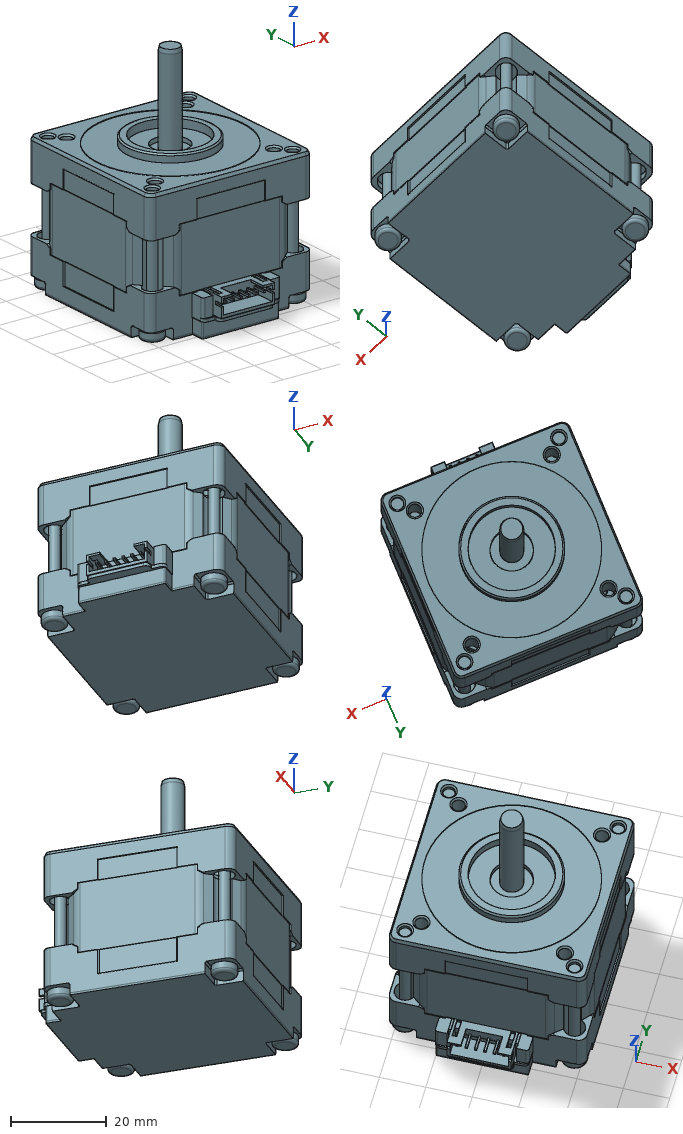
import cadquery as cq
import math


body_width = 42.6
total_depth = 48.55
half_body = body_width / 2
body_top = 33.95
total_height = 55.85
corner_radius = 1.85

lower_cap_top = 11.6
upper_cap_bottom = 23.45
top_bevel_run = 0.4
top_bevel_rise = 0.8
bottom_bevel_run = 0.085
bottom_bevel_rise = 0.45
notch_half_width = 13.35
notch_flare_width = 14.5
notch_flare_rise = 0.7

stator_bottom = 9.5
stator_top = 25.6
half_stator = 21.1
stator_flat_half = 12.8
shoulder = (14.5, 20.6)
recess_corner = (16.2, 19.2)

recess_floor = 5.6
slot_floor_distance = 21.1

window_depth = 0.35
window_half_width = 8.9
upper_window_top = 30.3
lower_window_bottom = 3.9
lower_window_draft = 0.3

recess_radius = 18.75
recess_depth = 0.15
boss_radius = 11.05
boss_top = 35.8
boss_chamfer = 0.4
boss_bore_radius = 9.1
boss_bore_floor = 33.75
bearing_bore_radius = 4.5
bearing_bore_floor = 32.6
shaft_radius = 2.5
shaft_chamfer_run = 0.2
shaft_chamfer_rise = 1.0

screw_offset = 18.25
screw_radius = 1.25
screw_hole_radius = 1.35
screw_hole_depth = 1.1
tapped_offset = 15.5
tapped_radius = 1.4
screw_clearance = math.hypot(screw_offset - recess_corner[0], screw_offset - recess_corner[1])
countersink = 0.4
head_radius = 2.8
head_bottom = 0.15
head_top = 2.35
head_round = 0.7
head_pocket_edge = 15.0
head_pocket_top = 2.8
head_pocket_chamfer = 0.4

connector_back = half_body - window_depth
base_half_width = 10.0
plate_half_width = 10.1
base_front = 24.7
base_top = 3.9
base_corner = 0.35
plate_top = 4.7
plate_front = 25.3
tongue_half_width = 7.15
tongue_front = 27.0
plate_corner = 1.1
block_inner = 7.5
block_front = 24.95
block_top = 9.4
block_corner = 0.55
web_front = 23.65
web_top = 9.15
housing_half_width = 6.9
housing_front = total_depth - half_body
housing_top = 9.6
cavity_half_width = 6.3
cavity_back = 22.95
cavity_floor = 5.5
cavity_roof = 9.1
opening_half_width = 3.9
undercut_depth = 0.55
undercut_low = 6.8
undercut_high = 7.4
key_slot_inner = 5.35
key_slot_front = 25.3
latch_back = 25.2
latch_bottom = 7.3
latch_top = 8.1
pin_count = 6
pin_pitch = 2.0
pin_width = 0.5
pin_bottom = 7.5
pin_front = 26.3

corners = [(sx, sy) for sx in (-1, 1) for sy in (-1, 1)]


def block(x_range, y_range, z_range):
    """Box between the given limits."""
    low, high = zip(x_range, y_range, z_range)
    size = [b - a for a, b in zip(low, high)]
    return cq.Workplane("XY").box(*size, centered=False).translate(low)


def rod(radius, bottom, top, center=(0, 0)):
    """Upright cylinder."""
    return cq.Workplane("XY", origin=(*center, bottom)).circle(radius).extrude(top - bottom)


def around(solid):
    """The solid repeated on the four sides of the body."""
    result = solid
    for turn in (90, 180, 270):
        result = result.union(solid.rotate((0, 0, 0), (0, 0, 1), turn))
    return result


def cap(bottom, top):
    """Square cap with rounded corners."""
    return (
        cq.Workplane("XY", origin=(0, 0, bottom))
        .rect(body_width, body_width)
        .extrude(top - bottom)
        .edges("|Z")
        .fillet(corner_radius)
    )


def corner_slots(bottom, top):
    """Diagonal corner slots, each with a round outer end about its screw."""
    screw_distance = screw_offset * math.sqrt(2)
    slot = (
        cq.Workplane("XY", origin=(0, 0, bottom))
        .moveTo(slot_floor_distance, -screw_clearance)
        .lineTo(screw_distance, -screw_clearance)
        .threePointArc((screw_distance + screw_clearance, 0), (screw_distance, screw_clearance))
        .lineTo(slot_floor_distance, screw_clearance)
        .close()
        .extrude(top - bottom)
    )
    return around(slot.rotate((0, 0, 0), (0, 0, 1), 45))


def stator():
    """Laminated stack with rounded shoulders and cut corners."""
    run = shoulder[0] - stator_flat_half
    drop = half_stator - shoulder[1]
    half_sweep = math.atan2(drop, run)
    radius = run / math.sin(2 * half_sweep)
    middle = (
        stator_flat_half + radius * math.sin(half_sweep),
        half_stator - radius * (1 - math.cos(half_sweep)),
    )
    outline = cq.Workplane("XY", origin=(0, 0, stator_bottom)).moveTo(-stator_flat_half, half_stator)
    for turn in range(4):

        def at(x, y):
            """Point of the first side carried to the current side."""
            for _ in range(turn):
                x, y = y, -x
            return (x, y)

        outline = (
            outline.lineTo(*at(stator_flat_half, half_stator))
            .threePointArc(at(*middle), at(*shoulder))
            .lineTo(*at(*recess_corner))
            .lineTo(*at(recess_corner[1], recess_corner[0]))
            .lineTo(*at(shoulder[1], shoulder[0]))
            .threePointArc(at(middle[1], middle[0]), at(half_stator, stator_flat_half))
        )
    return outline.close().extrude(stator_top - stator_bottom)


def side_notches():
    """Cutters for the openings that bare the stator and for the shallow side windows."""
    notch = (
        cq.Workplane("XZ", origin=(0, -shoulder[1], 0))
        .moveTo(-notch_half_width, stator_bottom)
        .lineTo(notch_half_width, stator_bottom)
        .lineTo(notch_half_width, lower_cap_top - notch_flare_rise)
        .lineTo(notch_flare_width, lower_cap_top)
        .lineTo(notch_flare_width, upper_cap_bottom)
        .lineTo(notch_half_width, upper_cap_bottom + notch_flare_rise)
        .lineTo(notch_half_width, stator_top)
        .lineTo(-notch_half_width, stator_top)
        .lineTo(-notch_half_width, upper_cap_bottom + notch_flare_rise)
        .lineTo(-notch_flare_width, upper_cap_bottom)
        .lineTo(-notch_flare_width, lower_cap_top)
        .lineTo(-notch_half_width, lower_cap_top - notch_flare_rise)
        .close()
        .extrude(half_body - shoulder[1])
    )
    window_x = (-window_half_width, window_half_width)
    window_y = (-half_body, -half_body + window_depth)
    upper_window = block(window_x, window_y, (stator_top, upper_window_top))
    lower_window = block(window_x, window_y, (lower_window_bottom, stator_bottom))
    lower_window = lower_window.edges("|Z and >Y").chamfer(lower_window_draft)
    return around(notch.union(upper_window).union(lower_window))


def add_bevel(body, face, run, rise):
    """Extends an end face by a short tapered rim."""
    taper = math.degrees(math.atan2(run, rise))
    rim = body.faces(face).wires().toPending().workplane().extrude(rise, taper=taper, combine=False)
    return body.union(rim)


def lower_cap():
    """Lower cap with a bevelled underside and a corner pocket for each screw head."""
    body = add_bevel(cap(bottom_bevel_rise, lower_cap_top), "<Z", bottom_bevel_run, bottom_bevel_rise)
    pocket = block((head_pocket_edge, half_body), (head_pocket_edge, half_body), (0, head_pocket_top))
    inner_edges = pocket.edges("(<X and <Y) or (>Z and (<X or <Y))")
    return body.cut(around(inner_edges.chamfer(head_pocket_chamfer)))


def upper_cap():
    """Upper cap with a bevelled top edge and a shallow round recess."""
    body = cap(upper_cap_bottom, body_top - top_bevel_rise)
    body = add_bevel(body, ">Z", top_bevel_run, top_bevel_rise)
    return body.cut(rod(recess_radius, body_top - recess_depth, body_top))


def boss_and_shaft(body):
    """Adds the stepped-bore boss and the shaft to the body."""
    boss = rod(boss_radius, bearing_bore_floor, boss_top).faces(">Z").chamfer(boss_chamfer)
    body = body.union(boss)
    body = body.cut(rod(boss_bore_radius, boss_bore_floor, boss_top))
    body = body.cut(rod(bearing_bore_radius, bearing_bore_floor, boss_top))
    shaft = (
        cq.Workplane("XZ")
        .moveTo(0, stator_top)
        .lineTo(shaft_radius, stator_top)
        .lineTo(shaft_radius, total_height - shaft_chamfer_rise)
        .lineTo(shaft_radius - shaft_chamfer_run, total_height)
        .lineTo(0, total_height)
        .close()
        .revolve(360, (0, 0, 0), (0, 1, 0))
    )
    return body.union(shaft)


def countersunk_hole(radius, bottom, center):
    """Cutter for a hole from the top face with a 45 degree countersink."""
    hole = rod(radius, bottom, body_top, center)
    sink = (
        cq.Workplane("XY", origin=(*center, body_top))
        .circle(radius + countersink)
        .extrude(-countersink, taper=45)
    )
    return hole.union(sink)


def screw(center):
    """Screw shank with a round-edged head below."""
    shank = rod(screw_radius, head_top, stator_top, center)
    head = rod(head_radius, head_bottom, head_top, center).faces("<Z").edges().fillet(head_round)
    return shank.union(head)


def connector_base():
    """Base block under a plate whose rounded tongue reaches below the housing."""
    base = block(
        (-base_half_width, base_half_width), (-base_front, -connector_back), (bottom_bevel_rise, base_top)
    )
    base = base.edges("|Z and <Y").fillet(base_corner)
    base = add_bevel(base, "<Z", bottom_bevel_run, bottom_bevel_rise)
    plate_z = (base_top, plate_top)
    plate = block((-plate_half_width, plate_half_width), (-plate_front, -connector_back), plate_z)
    tongue = block((-tongue_half_width, tongue_half_width), (-tongue_front, -connector_back), plate_z)
    plate = plate.edges("|Z and <Y").fillet(plate_corner)
    tongue = tongue.edges("|Z and <Y").fillet(plate_corner)
    return base.union(plate).union(tongue)


def connector_housing():
    """Plug housing with side blocks, an open cavity, slots and a row of pins."""
    housing = block(
        (-housing_half_width, housing_half_width), (-housing_front, -connector_back), (plate_top, housing_top)
    )
    web = block((-block_inner, block_inner), (-web_front, -connector_back), (plate_top, web_top))
    housing = housing.union(web)
    side_block = block((block_inner, plate_half_width), (-block_front, -connector_back), (plate_top, block_top))
    side_block = side_block.edges("|Z and <Y and >X").fillet(block_corner)
    housing = housing.union(side_block).union(side_block.mirror("YZ"))

    cavity = block(
        (-cavity_half_width, cavity_half_width), (-housing_front, -cavity_back), (cavity_floor, cavity_roof)
    )
    opening = block(
        (-opening_half_width, opening_half_width), (-housing_front, -cavity_back), (cavity_floor, housing_top)
    )
    undercut = (
        cq.Workplane("YZ", origin=(-cavity_half_width, 0, 0))
        .moveTo(-cavity_back, cavity_floor)
        .lineTo(-cavity_back + undercut_depth, cavity_floor)
        .lineTo(-cavity_back + undercut_depth, undercut_low)
        .lineTo(-cavity_back, undercut_high)
        .close()
        .extrude(2 * cavity_half_width)
    )
    latch = block(
        (-housing_half_width, housing_half_width), (-housing_front, -latch_back), (latch_bottom, latch_top)
    )
    key_slot = block(
        (key_slot_inner, cavity_half_width), (-key_slot_front, -half_body), (cavity_roof, housing_top)
    )
    for cutter in (cavity, opening, undercut, latch, key_slot, key_slot.mirror("YZ")):
        housing = housing.cut(cutter)

    for index in range(pin_count):
        center = (index - (pin_count - 1) / 2) * pin_pitch
        pin = block(
            (center - pin_width / 2, center + pin_width / 2),
            (-pin_front, -cavity_back),
            (pin_bottom, pin_bottom + pin_width),
        )
        housing = housing.union(pin)
    return housing


body = lower_cap().union(upper_cap())
body = body.cut(side_notches())
body = body.union(stator())
body = body.cut(corner_slots(upper_cap_bottom, stator_top))
body = boss_and_shaft(body)

for sx, sy in corners:
    screw_center = (sx * screw_offset, sy * screw_offset)
    tapped_center = (sx * tapped_offset, sy * tapped_offset)
    body = body.cut(countersunk_hole(screw_hole_radius, body_top - screw_hole_depth, screw_center))
    body = body.cut(countersunk_hole(tapped_radius, stator_top, tapped_center))
    body = body.cut(rod(screw_clearance, recess_floor, stator_top, screw_center))
    body = body.union(screw(screw_center))

result = body.union(connector_base()).union(connector_housing())